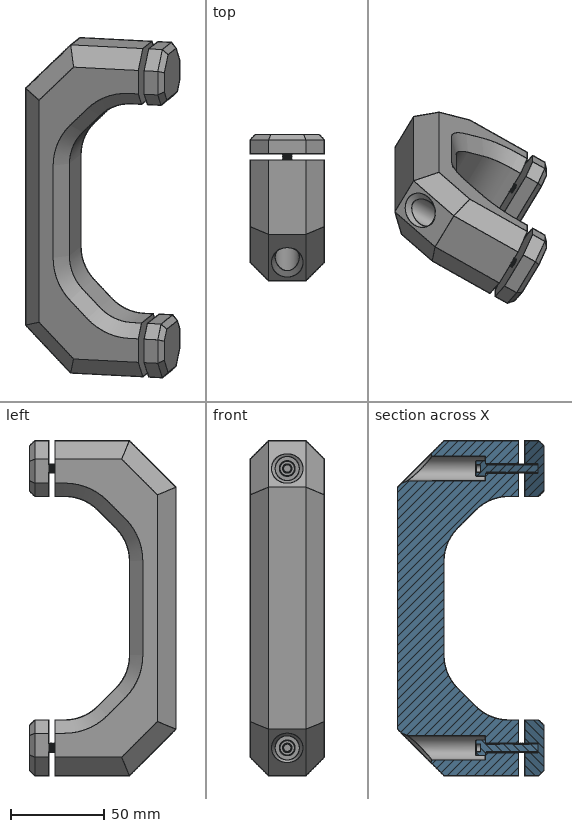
import cadquery as cq
import math


WIDTH = 40.0
DEPTH = 78.7
HEIGHT = 180.0
half_height = HEIGHT / 2

LEG_HEIGHT = 30.0
GRIP_DEPTH = 25.0
CORNER_CUT = 25.0
INNER_CORNER_CUT = 24.3
INNER_RADIUS = 25.0
OUTER_CHAMFER = WIDTH / 4
INNER_CHAMFER = 7.2

FOOT_THICKNESS = 10.5
FOOT_GAP = 3.2
FOOT_BACK_CHAMFER = 2.9
foot_front = DEPTH - FOOT_THICKNESS
handle_back = foot_front - FOOT_GAP
leg_center = half_height - LEG_HEIGHT / 2
leg_inner = half_height - LEG_HEIGHT

BORE_DIAMETER = 13.0
BORE_MOUTH_CHAMFER = 2.0
SEAT_THICKNESS = 18.0
HEAD_DIAMETER = 8.5
HEAD_HEIGHT = 5.0
HEAD_CHAMFER = 0.4
SOCKET_DIAMETER = 4.0
SOCKET_RIM_DIAMETER = 5.0
SOCKET_DEPTH = 2.5
THREAD_DIAMETER = 5.0
THREAD_ROOT_DIAMETER = 4.0
THREAD_PITCH = 0.8
FOOT_ENGAGEMENT = 7.2
seat_y = handle_back - SEAT_THICKNESS
head_top_y = seat_y - HEAD_HEIGHT
screw_tip_y = foot_front + FOOT_ENGAGEMENT

SELECTION_MARGIN = 0.02


def prism_across_x(points):
    """Prism with a (y, z) outline, as wide as the handle and centred on x = 0."""
    return cq.Workplane("YZ").polyline(points).close().extrude(WIDTH / 2, both=True)


def cylinder_along_y(diameter, start_y, end_y, z):
    """Cylinder on x = 0 that runs from start_y to end_y."""
    axis_plane = cq.Plane(origin=(0, start_y, z), xDir=(1, 0, 0), normal=(0, 1, 0))
    return cq.Workplane(axis_plane).circle(diameter / 2).extrude(end_y - start_y)


def outer_block():
    """Filled bow outline with bevelled edges along its outside."""
    corner_z = half_height - CORNER_CUT
    block = prism_across_x([
        (handle_back, -half_height),
        (CORNER_CUT, -half_height),
        (0, -corner_z),
        (0, corner_z),
        (CORNER_CUT, half_height),
        (handle_back, half_height),
    ])
    outside_edges = block.faces("<X or >X").edges("not(>Y)")
    return block.newObject(outside_edges.vals()).chamfer(OUTER_CHAMFER)


def hand_opening():
    """Space between the legs, with a cut and rounded inner corner at each leg."""
    corner_y = GRIP_DEPTH + INNER_CORNER_CUT
    corner_z = leg_inner - INNER_CORNER_CUT
    opening = prism_across_x([
        (DEPTH, -leg_inner),
        (corner_y, -leg_inner),
        (GRIP_DEPTH, -corner_z),
        (GRIP_DEPTH, corner_z),
        (corner_y, leg_inner),
        (DEPTH, leg_inner),
    ])
    return opening.edges("|X and (not >Y)").fillet(INNER_RADIUS)


def inner_side_edges(bow):
    """Edges where the flat sides of the bow meet the hand opening."""
    low = (-WIDTH, GRIP_DEPTH - SELECTION_MARGIN, -leg_inner - SELECTION_MARGIN)
    high = (WIDTH, handle_back - SELECTION_MARGIN, leg_inner + SELECTION_MARGIN)
    return bow.faces("<X or >X").edges(cq.selectors.BoxSelector(low, high))


def make_handle():
    """Bow with a screw bore from the front of each leg and a screw hole out of its end."""
    bow = outer_block().cut(hand_opening())
    bow = bow.newObject(inner_side_edges(bow).vals()).chamfer(INNER_CHAMFER)
    for z in (-leg_center, leg_center):
        bow = bow.cut(cylinder_along_y(BORE_DIAMETER, 0, seat_y, z))
        bow = bow.cut(cylinder_along_y(THREAD_DIAMETER, seat_y, handle_back, z))
    mouths = bow.edges("%ELLIPSE")
    return bow.newObject(mouths.vals()).chamfer(BORE_MOUTH_CHAMFER)


def make_foot(side):
    """Foot behind the upper leg (side = 1) or the lower leg (side = -1)."""
    half_width = WIDTH / 2
    outer_z = side * half_height
    inner_z = side * leg_inner
    section = [
        (half_width - OUTER_CHAMFER, outer_z),
        (half_width, outer_z - side * OUTER_CHAMFER),
        (half_width, inner_z + side * INNER_CHAMFER),
        (half_width - INNER_CHAMFER, inner_z),
    ]
    section += [(-x, z) for x, z in reversed(section)]
    front_face = cq.Workplane("XZ", origin=(0, foot_front, 0))
    foot = front_face.polyline(section).close().extrude(-FOOT_THICKNESS)
    foot = foot.faces(">Y").chamfer(FOOT_BACK_CHAMFER)
    return foot.cut(cylinder_along_y(THREAD_DIAMETER, foot_front, screw_tip_y, side * leg_center))


def make_screw(z):
    """Screw revolved about its own axis: socket, head, then ridges of thread to the tip."""
    head_radius = HEAD_DIAMETER / 2
    socket_radius = SOCKET_DIAMETER / 2
    rim_radius = SOCKET_RIM_DIAMETER / 2
    crest_radius = THREAD_DIAMETER / 2
    root_radius = THREAD_ROOT_DIAMETER / 2
    socket_floor_y = head_top_y + SOCKET_DEPTH
    rim_floor_y = head_top_y + rim_radius - socket_radius
    profile = [
        (0, socket_floor_y),
        (socket_radius, socket_floor_y),
        (socket_radius, rim_floor_y),
        (rim_radius, head_top_y),
        (head_radius - HEAD_CHAMFER, head_top_y),
        (head_radius, head_top_y + HEAD_CHAMFER),
        (head_radius, seat_y),
        (crest_radius, seat_y),
    ]
    ridge_count = math.floor((screw_tip_y - seat_y) / THREAD_PITCH)
    first_ridge_y = screw_tip_y - ridge_count * THREAD_PITCH
    for ridge in range(ridge_count):
        ridge_y = first_ridge_y + ridge * THREAD_PITCH
        profile.append((crest_radius, ridge_y))
        profile.append((root_radius, ridge_y + THREAD_PITCH / 2))
    profile.append((crest_radius, screw_tip_y))
    profile.append((0, screw_tip_y))
    outline = cq.Workplane("XY", origin=(0, 0, z)).polyline(profile).close()
    return outline.revolve(360, (0, 0, 0), (0, 1, 0))


handle = make_handle()
feet = [make_foot(side) for side in (-1, 1)]
screws = [make_screw(side * leg_center) for side in (-1, 1)]

result = cq.Compound.makeCompound([
    handle.val(),
    *[foot.val() for foot in feet],
    *[screw.val() for screw in screws],
])